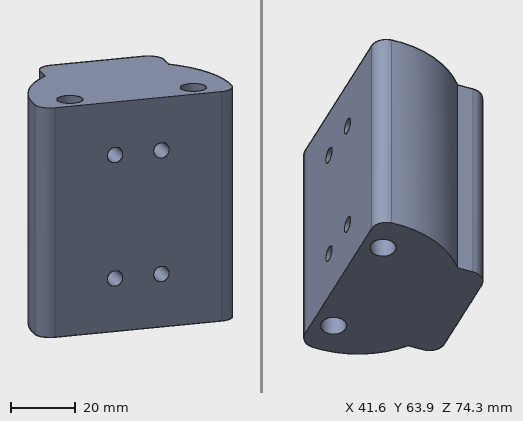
import cadquery as cq

length_x = 41.6
width_y = 63.9
height_z = 74.3

block_width = 40.0
corner_radius = 5.0
arc_center_inset = 6.7
arc_radius = width_y / 2

vertical_hole_diameter = 8.0
vertical_hole_spacing = block_width

mount_hole_diameter = 5.0
mount_spacing_y = 15.0
mount_spacing_z = 40.0

front_x = -length_x / 2
back_x = length_x / 2
arc_center_x = back_x - arc_center_inset


def make_body():
    """Round body cut flat at the back, joined to the block, with rounded corners."""
    block = cq.Workplane("XY").box(length_x, block_width, height_z)
    cylinder = (
        cq.Workplane("XY")
        .center(arc_center_x, 0)
        .circle(arc_radius)
        .extrude(height_z / 2, both=True)
    )
    envelope = cq.Workplane("XY").box(length_x, width_y, height_z)
    body = block.union(cylinder.intersect(envelope)).clean()
    body = body.faces("<X").edges("|Z").fillet(corner_radius)
    return body.faces(">X").edges("|Z").fillet(corner_radius)


def make_vertical_holes():
    return (
        cq.Workplane("XY")
        .center(arc_center_x, 0)
        .rarray(0.75, vertical_hole_spacing, 1, 2)
        .circle(vertical_hole_diameter / 2)
        .extrude(height_z / 2, both=True)
    )


def make_mount_holes():
    return (
        cq.Workplane("YZ", origin=(front_x, 0, 0))
        .rarray(mount_spacing_y, mount_spacing_z, 2, 2)
        .circle(mount_hole_diameter / 2)
        .extrude(length_x)
    )


result = make_body().cut(make_vertical_holes()).cut(make_mount_holes())